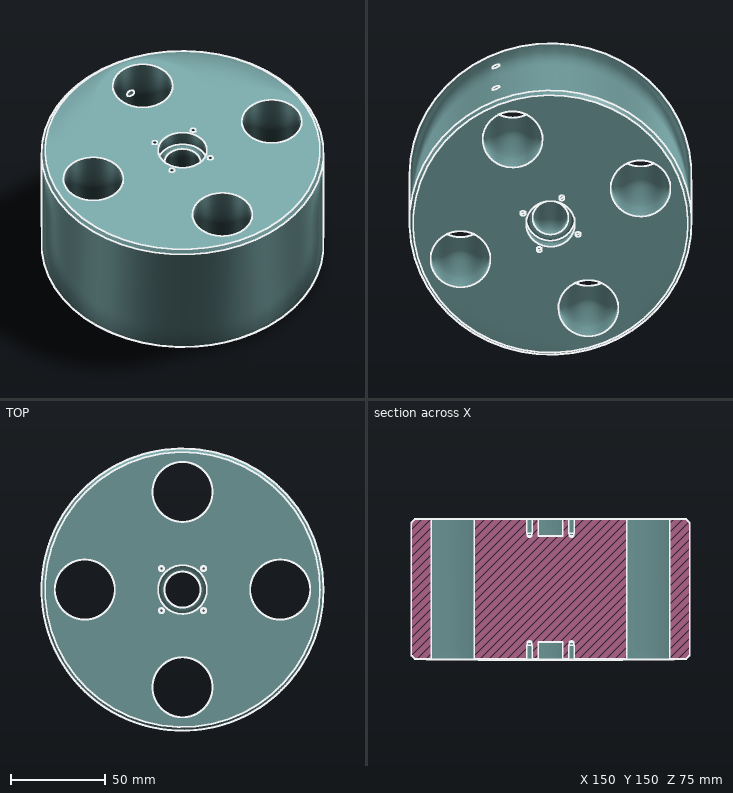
import cadquery as cq
import math

drum_diameter = 150.0
drum_radius = drum_diameter / 2
drum_height = 75.0
bottom_tilt = 0.5
rim_chamfer = 2.0

bore_count = 4
bore_diameter = 31.8
bore_circle_radius = 51.9

seat_diameter = 26.0
seat_depth = 9.0
shaft_hole_diameter = 19.0

thread_diameter = 2.8
thread_depth = 7.5
tap_drill_diameter = 2.2
tap_drill_depth = 9.0
drill_point_angle = 118.0
screw_hole_spacing = 22.4

side_hole_diameter = 4.2
side_hole_depths_below_top = (20.8, 52.6)


lowest_x = drum_radius - rim_chamfer


def underside_height(x):
    return (lowest_x - x) * math.tan(math.radians(bottom_tilt))


def make_drum():
    side_profile = (
        cq.Workplane("XZ")
        .moveTo(-drum_radius, underside_height(-drum_radius))
        .lineTo(drum_radius, underside_height(drum_radius))
        .lineTo(drum_radius, drum_height)
        .lineTo(-drum_radius, drum_height)
        .close()
        .extrude(drum_radius, both=True)
    )
    cylinder = (
        cq.Workplane("XY", origin=(0, 0, -drum_height))
        .circle(drum_radius)
        .extrude(2 * drum_height)
    )
    drum = cylinder.intersect(side_profile)
    return drum.faces(">Z or <Z").edges().chamfer(rim_chamfer)


def top_plane(body):
    return body.faces(">Z").workplane(origin=(0, 0, drum_height))


def cut_bores(body):
    return (
        top_plane(body)
        .polarArray(bore_circle_radius, 0, 360, bore_count)
        .hole(bore_diameter)
    )


def cut_centre_hole(body):
    body = top_plane(body).cboreHole(shaft_hole_diameter, seat_diameter, seat_depth)
    bottom_seat_floor = underside_height(0) + seat_depth
    bottom_seat = (
        cq.Workplane("XY", origin=(0, 0, bottom_seat_floor))
        .circle(seat_diameter / 2)
        .extrude(-2 * seat_depth)
    )
    return body.cut(bottom_seat)


def make_screw_hole():
    thread_radius = thread_diameter / 2
    drill_radius = tap_drill_diameter / 2
    point_length = drill_radius / math.tan(math.radians(drill_point_angle / 2))
    return (
        cq.Workplane("XZ")
        .lineTo(thread_radius, 0)
        .lineTo(thread_radius, -thread_depth)
        .lineTo(drill_radius, -thread_depth)
        .lineTo(drill_radius, -tap_drill_depth)
        .lineTo(0, -tap_drill_depth - point_length)
        .close()
        .revolve(360, (0, 0), (0, 1))
    )


def cut_screw_holes(body):
    top_hole = make_screw_hole()
    bottom_hole = top_hole.mirror("XY")
    offset = screw_hole_spacing / 2
    for x in (-offset, offset):
        for y in (-offset, offset):
            body = body.cut(top_hole.translate((x, y, drum_height)))
            body = body.cut(bottom_hole.translate((x, y, underside_height(x))))
    return body


def cut_side_holes(body):
    hole_length = drum_radius - bore_circle_radius
    heights = [drum_height - depth for depth in side_hole_depths_below_top]
    holes = (
        cq.Workplane("YZ", origin=(-drum_radius, 0, 0))
        .pushPoints([(0, height) for height in heights])
        .circle(side_hole_diameter / 2)
        .extrude(hole_length)
    )
    return body.cut(holes)


drum = make_drum()
drum = cut_bores(drum)
drum = cut_centre_hole(drum)
drum = cut_screw_holes(drum)
result = cut_side_holes(drum)